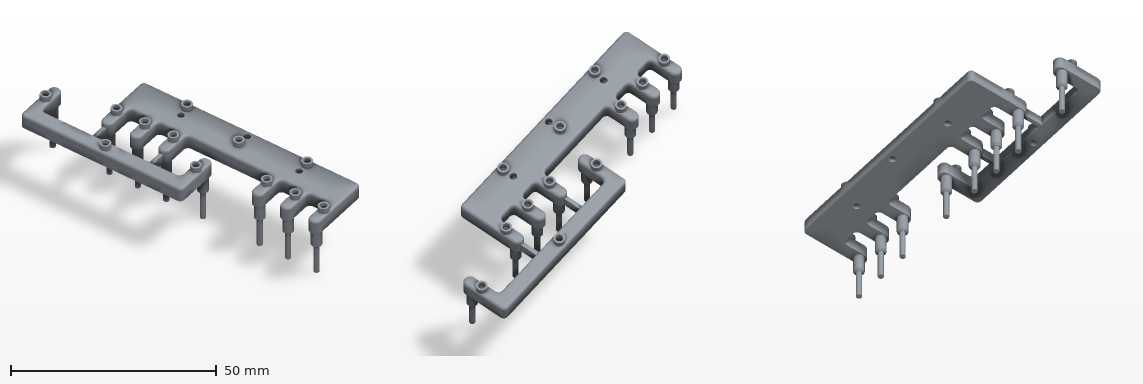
import cadquery as cq

plate_thickness = 4.0
top_edge_radius = 0.75
corner_radius = 1.25
finger_width = 3.35
finger_tip_radius = finger_width / 2

finger_pitch = 8.5
group_pitch = 45.0
first_pin_x = finger_tip_radius
bar_finger_xs = [first_pin_x, first_pin_x + group_pitch]
comb_finger_xs = [
    first_pin_x + group + step * finger_pitch
    for group in (0, group_pitch)
    for step in (2, 3, 4)
]

bar_length = group_pitch + finger_width
bar_depth = 4.3
bar_tip_y = 13.63

comb_left = comb_finger_xs[0] - finger_tip_radius
comb_right = comb_finger_xs[-1] + finger_tip_radius
comb_rear_y = 27.5
comb_root_y = 17.55
comb_tip_y = 9.2

pin_y = 11.3
pin_diameter = 1.5
pin_bottom_z = -13.49
sleeve_diameter = 2.85
sleeve_length = 5.15
sleeve_chamfer = 0.5

boss_diameter = 2.9
finger_boss_diameter = 2.85
boss_height = 1.5
bore_diameter = 1.9
bar_finger_boss_y = 8.35
comb_finger_boss_y = 14.22
bar_window = (24.1, 2.08)
comb_middle_x = (comb_left + comb_right) / 2
comb_rear_boss_spacing = 36.0
comb_rear_boss_y = 25.45
comb_middle_boss_y = 22.0

wire_diameter = 1.5
wire_end_overlap = 0.2
wire_z = plate_thickness / 2
comb_window_spacing = 35.4
comb_front_window_y = 22.5
comb_rear_window_y = 25.5

web_width = 1.08
web_height = 2.75
web_xs = [comb_finger_xs[0], comb_finger_xs[2]]


def block(left, right, front, rear, height=plate_thickness):
    """Rectangular block standing on Z = 0."""
    corner = cq.Workplane("XY", origin=(left, front, 0))
    return corner.box(right - left, rear - front, height, centered=False)


def finger(x, root_y, tip_y):
    """Straight finger that ends in a half-round tip."""
    towards_tip = 1 if tip_y > root_y else -1
    tip_center_y = tip_y - towards_tip * finger_tip_radius
    front, rear = sorted((root_y, tip_center_y))
    shank = block(x - finger_tip_radius, x + finger_tip_radius, front, rear)
    tip = cq.Workplane("XY").center(x, tip_center_y).circle(finger_tip_radius).extrude(plate_thickness)
    return shank.union(tip)


def rounded_plate(body, finger_xs, root_y, tip_y, outer_y):
    """Add the fingers to a body, then round its corners, finger roots and top edge."""
    for x in finger_xs:
        finger_start_y = (root_y + outer_y) / 2
        body = body.union(finger(x, finger_start_y, tip_y))
    body = body.clean()
    margin = 0.1
    for y in (root_y, outer_y):
        selection = cq.selectors.BoxSelector(
            (-margin, y - margin, -margin),
            (comb_right + margin, y + margin, plate_thickness + margin),
        )
        body = body.edges("|Z").edges(selection).fillet(corner_radius)
    return body.faces(">Z").edges().fillet(top_edge_radius)


def column(x, y, diameter, bottom, top):
    """Vertical cylinder between two heights."""
    return cq.Workplane("XY", origin=(x, y, bottom)).circle(diameter / 2).extrude(top - bottom)


def contact(x):
    """Pin with its chamfered sleeve."""
    sleeve = column(x, pin_y, sleeve_diameter, -sleeve_length, wire_z).faces("<Z").chamfer(sleeve_chamfer)
    return sleeve.union(column(x, pin_y, pin_diameter, pin_bottom_z, wire_z))


finger_bosses = [(x, bar_finger_boss_y) for x in bar_finger_xs]
finger_bosses += [(x, comb_finger_boss_y) for x in comb_finger_xs]

plate_bosses = [(comb_middle_x + side * comb_rear_boss_spacing / 2, comb_rear_boss_y) for side in (-1, 1)]
plate_bosses += [(comb_middle_x, comb_middle_boss_y)]

windows = [(comb_middle_x + side * comb_window_spacing / 2, comb_front_window_y) for side in (-1, 1)]
windows += [(comb_middle_x, comb_rear_window_y), bar_window]

boss_top_z = plate_thickness + boss_height

bar = rounded_plate(block(0, bar_length, 0, bar_depth), bar_finger_xs, bar_depth, bar_tip_y, 0)
comb = rounded_plate(
    block(comb_left, comb_right, comb_root_y, comb_rear_y),
    comb_finger_xs, comb_root_y, comb_tip_y, comb_rear_y,
)
result = bar.union(comb)
web_front_y = bar_depth / 2
web_rear_y = comb_tip_y + finger_tip_radius
for x in web_xs:
    web = block(x - web_width / 2, x + web_width / 2, web_front_y, web_rear_y, web_height)
    result = result.union(web)

for x in bar_finger_xs + comb_finger_xs:
    result = result.union(contact(x))

for x, y in finger_bosses:
    result = result.union(column(x, y, finger_boss_diameter, wire_z, boss_top_z))
for x, y in plate_bosses + [bar_window]:
    result = result.union(column(x, y, boss_diameter, wire_z, boss_top_z))
for x, y in finger_bosses + plate_bosses:
    result = result.cut(column(x, y, bore_diameter, plate_thickness, boss_top_z))

wire_half_length = bore_diameter / 2 + wire_end_overlap
for x, y in windows:
    result = result.cut(column(x, y, bore_diameter, 0, boss_top_z))
    wire_start = cq.Workplane("YZ", origin=(x, y, wire_z)).circle(wire_diameter / 2)
    result = result.union(wire_start.extrude(wire_half_length, both=True))